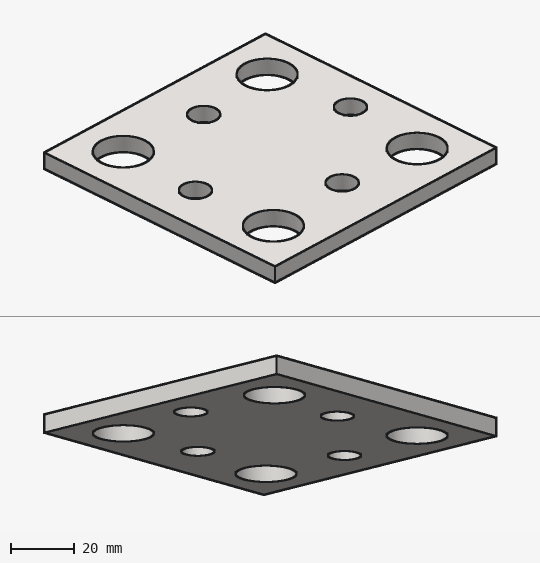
import cadquery as cq

side = 100.0
thickness = 6.0

corner_hole_diameter = 19.1
corner_hole_spacing = 65.0

cross_hole_diameter = 10.4
cross_half_width = 30.0
cross_half_height = 35.0
cross_center_y = 1.2

plate = cq.Workplane("XY").box(side, side, thickness)

corner_holes = (
    plate.faces(">Z").workplane()
    .rect(corner_hole_spacing, corner_hole_spacing, forConstruction=True)
    .vertices()
    .hole(corner_hole_diameter)
)

cross_points = [
    (-cross_half_width, 0),
    (cross_half_width, 0),
    (0, -cross_half_height),
    (0, cross_half_height),
]

result = (
    corner_holes.faces(">Z").workplane(origin=(0, cross_center_y, 0))
    .pushPoints(cross_points)
    .hole(cross_hole_diameter)
)